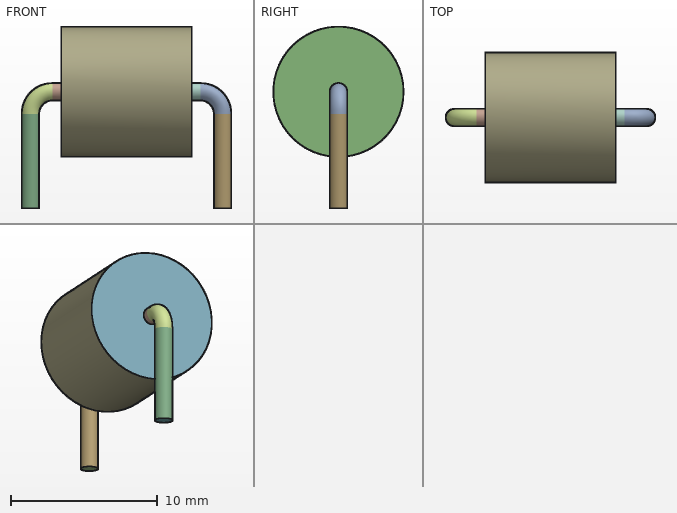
import cadquery as cq

overall_length = 14.3
overall_height = 12.4

body_diameter = 8.9
body_length = body_diameter

lead_diameter = 1.2
bend_radius = 1.5
lead_overlap = 0.72

body_radius = body_diameter / 2
body_end = body_length / 2
lead_radius = lead_diameter / 2
half_pitch = overall_length / 2 - lead_radius
lead_bottom = body_radius - overall_height


def make_body():
    """Plain cylinder on the X axis, centred on the origin."""
    return cq.Workplane("YZ", origin=(-body_end, 0, 0)).circle(body_radius).extrude(body_length)


def make_lead(side):
    """Wire leaving one end face (side = -1 or +1) and bending down to -Z."""
    wire_start = side * (body_end - lead_overlap)
    wire_end = side * half_pitch
    path = (
        cq.Workplane("XZ")
        .moveTo(wire_start, 0)
        .lineTo(side * (half_pitch - bend_radius), 0)
        .tangentArcPoint((wire_end, -bend_radius), relative=False)
        .lineTo(wire_end, lead_bottom)
    )
    section = cq.Workplane("YZ", origin=(wire_start, 0, 0)).circle(lead_radius)
    return section.sweep(path)


result = make_body().union(make_lead(-1)).union(make_lead(1))